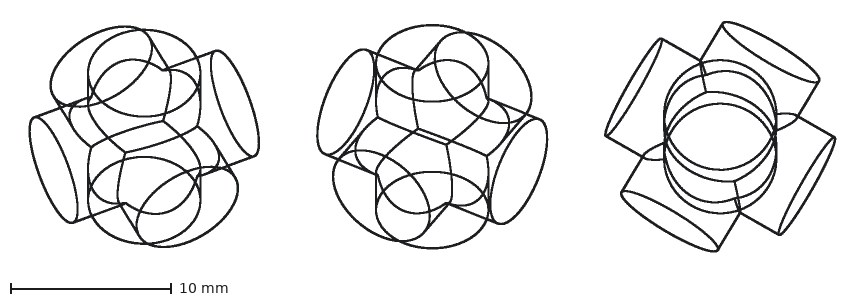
import cadquery as cq

length = 12.5
diameter = 7


def centered_bar(axis):
    """Solid cylinder along the given axis, centred on the origin."""
    start = axis * (-length / 2)
    return cq.Workplane(cq.Solid.makeCylinder(diameter / 2, length, start, axis))


bar_x = centered_bar(cq.Vector(1, 0, 0))
bar_y = centered_bar(cq.Vector(0, 1, 0))
bar_z = centered_bar(cq.Vector(0, 0, 1))

result = bar_x.union(bar_y).union(bar_z)